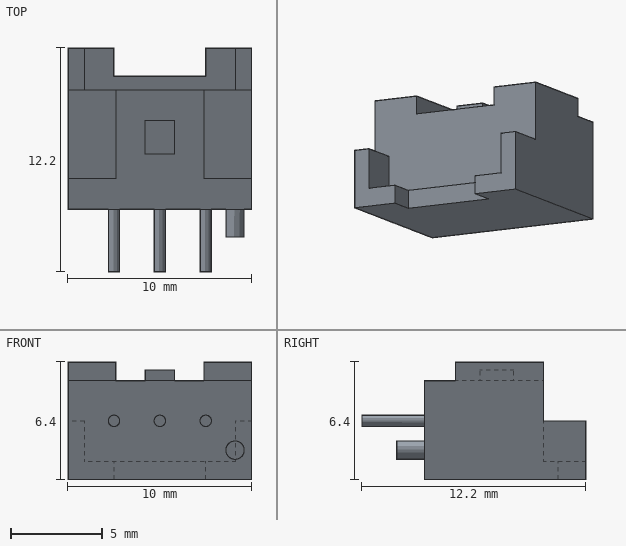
import cadquery as cq

width = 10.0
total_length = 12.2
housing_length = 8.8
shelf_height = 3.21
deck_height = 5.4
total_height = 6.4
step_length = 2.29
step_start = housing_length - step_length

pad_width = 2.6
pad_start = 1.7
pad_length = step_start - pad_start
key_width = 1.6
key_length = 1.83
key_start = 3.03
key_height = 0.59

side_wall = 0.89
recess_floor = 1.0
slot_width = 5.0
slot_length = 1.52

pin_count = 3
pin_pitch = 2.5
pin_diameter = 0.62
pin_length = total_length - housing_length
pin_height = 3.21
peg_diameter = 1.0
peg_length = 1.51
peg_x = 4.1
peg_height = 1.61


def block(x_center, size_x, y_start, size_y, z_start, size_z):
    """Rectangular block centred on x_center, growing toward +Y and +Z."""
    return (
        cq.Workplane("XY")
        .box(size_x, size_y, size_z, centered=(True, False, False))
        .translate((x_center, y_start, z_start))
    )


def rod(x, z, diameter, length):
    """Cylinder running from the pin face toward -Y."""
    return cq.Workplane("XZ").center(x, z).circle(diameter / 2).extrude(length)


body = block(0, width, 0, step_start, 0, deck_height)
body = body.union(block(0, width, step_start, step_length, 0, shelf_height))

pad_x = (width - pad_width) / 2
for x in (-pad_x, pad_x):
    body = body.union(block(x, pad_width, pad_start, pad_length, deck_height, total_height - deck_height))
body = body.union(block(0, key_width, key_start, key_length, deck_height, key_height))

recess_width = width - 2 * side_wall
recess_depth = shelf_height - recess_floor
body = body.cut(block(0, recess_width, step_start, step_length, recess_floor, recess_depth))
body = body.cut(block(0, slot_width, housing_length - slot_length, slot_length, 0, recess_floor))

for index in range(pin_count):
    pin_x = (index - (pin_count - 1) / 2) * pin_pitch
    body = body.union(rod(pin_x, pin_height, pin_diameter, pin_length))
body = body.union(rod(peg_x, peg_height, peg_diameter, peg_length))

result = body